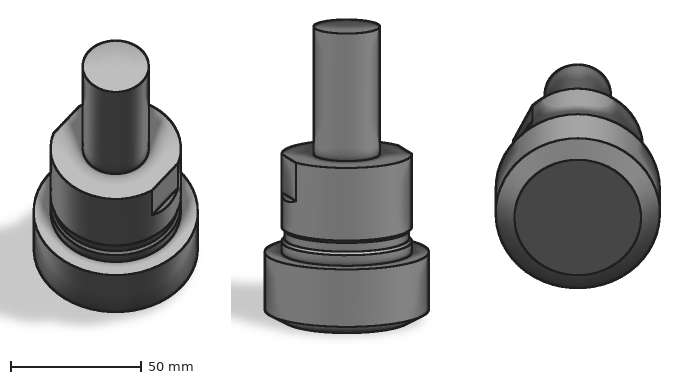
import cadquery as cq

total_height = 115.0
head_diameter = 63.0
body_diameter = 50.0
shank_diameter = 25.4

head_top = 26.6
shank_length = 50.0
body_top = total_height - shank_length

head_cone_height = 4.0
head_bottom_diameter = 48.5

groove_diameter = 47.8
groove_bottom = 30.7
groove_top = 36.5
groove_slope_height = 1.2

flat_spacing = 47.2
flat_height = 15.1


def make_turned_part():
    """Revolve the half outline about the Z axis."""
    head_radius = head_diameter / 2
    body_radius = body_diameter / 2
    groove_radius = groove_diameter / 2
    shank_radius = shank_diameter / 2
    outline = [
        (0, 0),
        (head_bottom_diameter / 2, 0),
        (head_radius, head_cone_height),
        (head_radius, head_top),
        (body_radius, head_top),
        (body_radius, groove_bottom),
        (groove_radius, groove_bottom + groove_slope_height),
        (groove_radius, groove_top - groove_slope_height),
        (body_radius, groove_top),
        (body_radius, body_top),
        (shank_radius, body_top),
        (shank_radius, total_height),
        (0, total_height),
    ]
    return cq.Workplane("XZ").polyline(outline).close().revolve(360, (0, 0), (0, 1))


def make_flat_cutter(side):
    """Material removed for one flat, whose lower end runs out at 45 degrees."""
    flat_x = flat_spacing / 2
    outer_x = head_diameter / 2
    flat_bottom = body_top - flat_height
    runout_bottom = flat_bottom - (outer_x - flat_x)
    outline = [
        (side * flat_x, body_top),
        (side * flat_x, flat_bottom),
        (side * outer_x, runout_bottom),
        (side * outer_x, body_top),
    ]
    return cq.Workplane("XZ").polyline(outline).close().extrude(head_diameter / 2, both=True)


result = make_turned_part()
for side in (-1, 1):
    result = result.cut(make_flat_cutter(side))